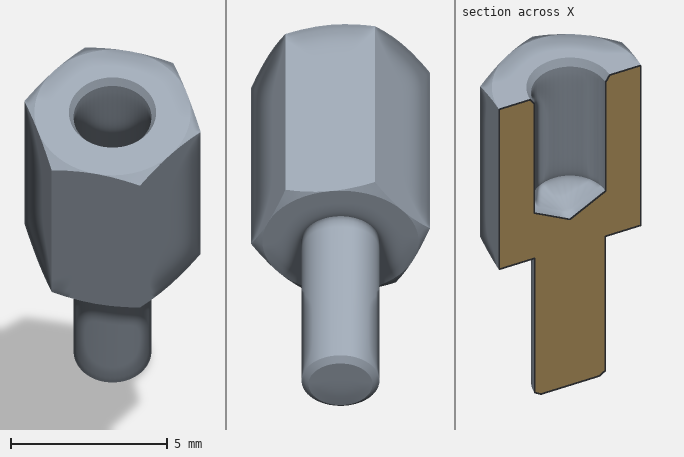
import cadquery as cq
import math

total_length = 13.0
hex_length = 7.0
across_flats = 5.0
thread_diameter = 2.5
hex_chamfer_angle = 30.0
stud_tip_height = 0.15
stud_tip_inset = 0.22
hole_depth = 5.0
drill_point_angle = 118.0
countersink_diameter = 2.8
countersink_angle = 60.0

stud_length = total_length - hex_length
flat_radius = across_flats / 2
corner_radius = flat_radius / math.cos(math.radians(30))
corner_drop = (corner_radius - flat_radius) * math.tan(math.radians(hex_chamfer_angle))
thread_radius = thread_diameter / 2
countersink_radius = countersink_diameter / 2
countersink_depth = (countersink_radius - thread_radius) / math.tan(math.radians(countersink_angle / 2))
drill_point_height = thread_radius / math.tan(math.radians(drill_point_angle / 2))


def revolve_profile(points):
    """Revolve a closed (radius, height) outline around the Z axis."""
    return cq.Workplane("XZ").polyline(points).close().revolve(360, (0, 0, 0), (0, 1, 0))


def make_hex_body():
    """Hexagon with corners on the X axis, both ends chamfered by a cone."""
    prism = (
        cq.Workplane("XY")
        .workplane(offset=stud_length)
        .polygon(6, 2 * corner_radius)
        .extrude(hex_length)
    )
    chamfer_envelope = revolve_profile([
        (0, stud_length),
        (flat_radius, stud_length),
        (corner_radius, stud_length + corner_drop),
        (corner_radius, total_length - corner_drop),
        (flat_radius, total_length),
        (0, total_length),
    ])
    return prism.intersect(chamfer_envelope)


def make_stud():
    """Round stud below the hexagon, with a chamfered tip at Z = 0."""
    return revolve_profile([
        (0, 0),
        (thread_radius - stud_tip_inset, 0),
        (thread_radius, stud_tip_height),
        (thread_radius, stud_length),
        (0, stud_length),
    ])


def make_hole():
    """Countersunk blind hole with a conical drill point."""
    hole_floor = total_length - hole_depth
    return revolve_profile([
        (0, hole_floor - drill_point_height),
        (thread_radius, hole_floor),
        (thread_radius, total_length - countersink_depth),
        (countersink_radius, total_length),
        (0, total_length),
    ])


result = make_hex_body().union(make_stud()).cut(make_hole())